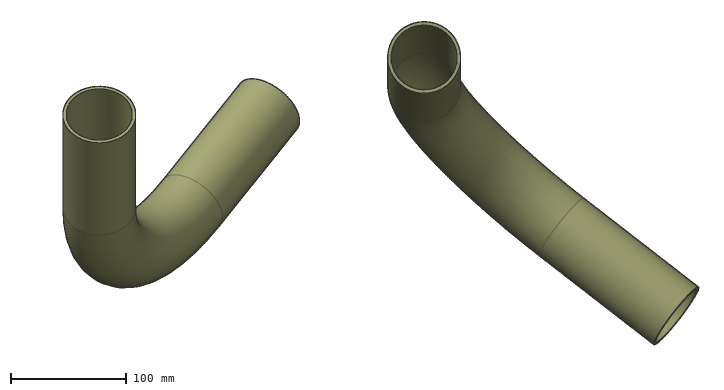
import cadquery as cq
import math

OUTER_DIAMETER = 63.5
INNER_DIAMETER = 57.4
BEND_RADIUS = 152.4
LEG_LENGTH = 127.0


def bent_rod(diameter):
    """Solid rod following the tube centreline; the two leg axes cross at the origin."""
    leg_end = BEND_RADIUS + LEG_LENGTH
    bend_middle = BEND_RADIUS * (1 - math.sqrt(0.5))
    centreline = (
        cq.Workplane("YZ")
        .moveTo(0, leg_end)
        .lineTo(0, BEND_RADIUS)
        .threePointArc((bend_middle, bend_middle), (BEND_RADIUS, 0))
        .lineTo(leg_end, 0)
    )
    section = cq.Workplane("XY", origin=(0, 0, leg_end)).circle(diameter / 2)
    return section.sweep(centreline)


result = bent_rod(OUTER_DIAMETER).cut(bent_rod(INNER_DIAMETER))